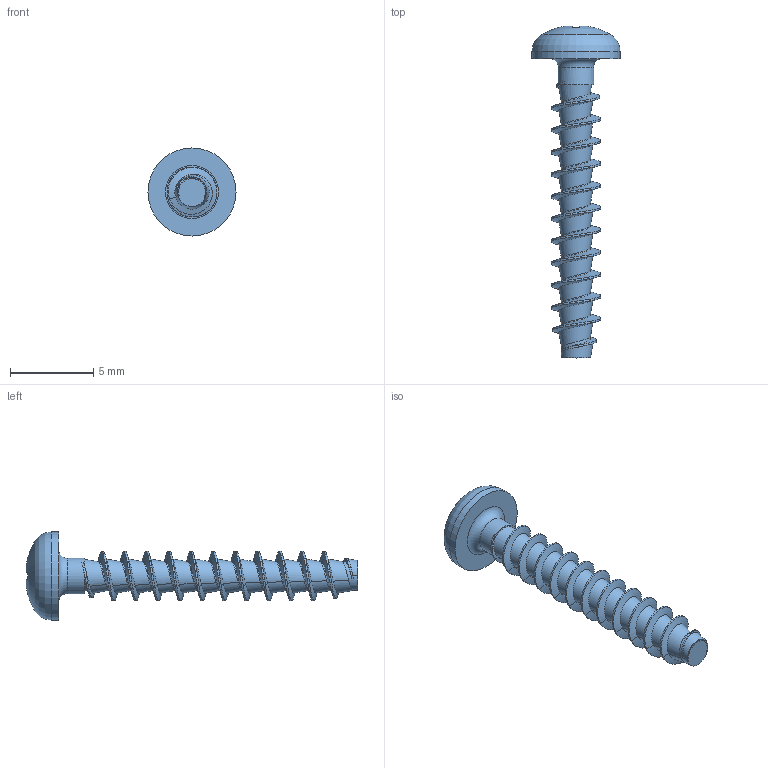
import cadquery as cq
import math

head_radius = 2.65
head_rim_height = 0.46
shoulder_radius = 2.12
shoulder_height = 1.43
head_height = 2.02

recess_arm_width = 0.43
recess_span = 2.5
recess_depth = 1.2
recess_floor_radius = 0.3
recess_core_radius = 0.64

neck_radius = 1.07
neck_end = -1.55
neck_fillet = 0.52
core_radius = 0.87
screw_end = -18.0

pitch = 1.335
thread_datum = -12.97
crest_radius = 1.5
crest_width = 0.10
flank_slope = 0.23
thread_tip_end = -17.7
full_thread_start = -15.6
full_thread_end = -2.96
thread_neck_end = -1.42

relief_radius = 1.03
relief_length = 1.12
relief_step = 0.02

root_overlap = 0.06
relief_overlap = 0.01
crest_overlap = 0.015
root_radius = core_radius - root_overlap
relief_thin_radius = core_radius - relief_overlap
tip_sunk_radius = core_radius - crest_overlap
neck_sunk_radius = neck_radius - crest_overlap

tangent_step = 0.0001
points_per_stretch = 18


def make_body():
    """Head, filleted neck and plain core turned about the Y axis; the side arc is tangent to the rim."""
    side_r = head_radius - shoulder_radius
    side_y = shoulder_height - head_rim_height
    side_radius = (side_r ** 2 + side_y ** 2) / (2 * side_r)
    dome_rise = head_height - shoulder_height
    dome_radius = (shoulder_radius ** 2 + dome_rise ** 2) / (2 * dome_rise)
    dome_mid_r = shoulder_radius / 2
    dome_mid_y = head_height - dome_radius + math.sqrt(dome_radius ** 2 - dome_mid_r ** 2)
    return (
        cq.Workplane("XY")
        .moveTo(0, screw_end)
        .lineTo(core_radius, screw_end)
        .lineTo(core_radius, neck_end)
        .lineTo(neck_radius, neck_end)
        .lineTo(neck_radius, -neck_fillet)
        .radiusArc((neck_radius + neck_fillet, 0), neck_fillet)
        .lineTo(head_radius, 0)
        .lineTo(head_radius, head_rim_height)
        .radiusArc((shoulder_radius, shoulder_height), -side_radius)
        .threePointArc((dome_mid_r, dome_mid_y), (0, head_height))
        .close()
        .revolve(360, (0, 0, 0), (0, 1, 0))
    )


def make_recess():
    """Cross recess: four tapering arms around a conical centre."""
    floor_y = head_height - recess_depth
    half_span = recess_span / 2
    arm = (
        cq.Workplane("XY")
        .moveTo(-recess_floor_radius, floor_y)
        .lineTo(recess_floor_radius, floor_y)
        .lineTo(half_span, head_height)
        .lineTo(-half_span, head_height)
        .close()
        .extrude(recess_arm_width / 2, both=True)
    )
    centre = (
        cq.Workplane("XY")
        .moveTo(0, floor_y)
        .lineTo(recess_floor_radius, floor_y)
        .lineTo(recess_core_radius, head_height)
        .lineTo(0, head_height)
        .close()
        .revolve(360, (0, 0, 0), (0, 1, 0))
    )
    crossing_arm = arm.rotate((0, 0, 0), (0, 1, 0), 90)
    return arm.union(crossing_arm).union(centre)


def crest_radius_at(y):
    """Crest radius along the axis, falling off as a parabola in both run-outs."""
    if y < full_thread_start:
        run = (full_thread_start - y) / (full_thread_start - thread_tip_end)
        return crest_radius - (crest_radius - tip_sunk_radius) * run ** 2
    if y > full_thread_end:
        run = min(1, (y - full_thread_end) / (thread_neck_end - full_thread_end))
        return crest_radius - (crest_radius - neck_sunk_radius) * run ** 2
    return crest_radius


def thread_section(y):
    """Corners (radius, axial offset) of thread and relief where the thread centre is at y."""
    crest = crest_radius_at(y)
    relief = min(relief_radius, crest - relief_step)
    half_crest = crest_width / 2
    half_root = half_crest + flank_slope * (crest - root_radius)
    half_at_relief = half_crest + flank_slope * (crest - relief)
    thin = min(relief_thin_radius, relief - relief_step)
    return [
        (root_radius, half_root),
        (crest, half_crest),
        (crest, -half_crest),
        (relief, -half_at_relief),
        (thin, -relief_length),
        (root_radius, -relief_length),
    ]


def helix_point(y, corner):
    """Place a section corner on the right-handed helix whose centre line is at y."""
    radius, offset = corner
    angle = 2 * math.pi * (y - thread_datum) / pitch
    return cq.Vector(radius * math.cos(angle), y + offset, -radius * math.sin(angle))


def helix_edge(section, corner_index, y_start, y_end):
    """Path of one section corner over a stretch of about one turn."""
    step = (y_end - y_start) / points_per_stretch
    stations = [y_start + step * i for i in range(points_per_stretch + 1)]
    points = [helix_point(y, section(y)[corner_index]) for y in stations]
    tangents = []
    for y in (y_start, y_end):
        before = helix_point(y - tangent_step, section(y - tangent_step)[corner_index])
        after = helix_point(y + tangent_step, section(y + tangent_step)[corner_index])
        tangents.append((after - before) / (2 * tangent_step))
    return cq.Edge.makeSpline(points, tangents=tangents, parameters=stations, scale=False)


def make_helical_solid(section, y_start, y_end):
    """Solid bounded by ruled faces between the helical paths of the section corners."""
    stretch_count = math.ceil((y_end - y_start) / pitch)
    stretch = (y_end - y_start) / stretch_count
    corner_count = len(section(y_start))
    faces = []
    for i in range(stretch_count):
        y = y_start + i * stretch
        edges = [helix_edge(section, k, y, y + stretch) for k in range(corner_count)]
        for k in range(corner_count):
            faces.append(cq.Face.makeRuledSurface(edges[k - 1], edges[k]))
    for y in (y_start, y_end):
        outline = [helix_point(y, corner) for corner in section(y)]
        faces.append(cq.Face.makeFromWires(cq.Wire.makePolygon(outline, close=True)))
    solid = cq.Solid.makeSolid(cq.Shell.makeShell(faces))
    return cq.Workplane(obj=solid.fix())


def make_thread():
    """Thread with its relief, sunk into the neck at one end and trimmed flat at the tip."""
    thread = make_helical_solid(thread_section, thread_tip_end, neck_end + relief_length)
    below_tip = (
        cq.Workplane("XZ", origin=(0, screw_end, 0))
        .circle(head_radius)
        .extrude(2 * relief_length)
    )
    return thread.cut(below_tip)


result = make_body().cut(make_recess()).union(make_thread(), clean=False)